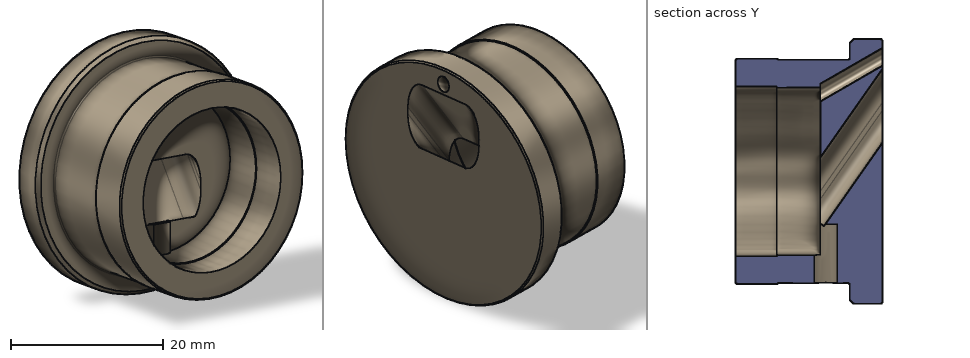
import cadquery as cq
import math

flange_radius = 17.4
flange_thickness = 4.35
front_chamfer = 0.2
flange_back_chamfer = 0.52
neck_end = 13.7
neck_radius = 14.7
collar_radius = 14.82
total_length = 19.35
collar_chamfer = 0.2
collar_step_chamfer = 0.1
neck_root_fillet = 0.2

bore_start = 8.18
bore_radius = 11.0
counterbore_start = 13.92
counterbore_radius = 11.15

drain_diameter = 3.0
drain_position = 7.48
drain_top = -6.95

channel_width = 12.5
channel_thickness = 5.55
channel_corner_radius = 2.47
channel_height = 8.65
channel_slope = 55.0

pin_diameter = 2.0
pin_height = 15.07
pin_slope = 30.0

cutter_reach = 17.4


def make_body():
    """Solid of revolution: half profile in axial and radial coordinates, turned about X."""
    return (
        cq.Workplane("XY")
        .moveTo(0, 0)
        .lineTo(0, flange_radius - front_chamfer)
        .lineTo(front_chamfer, flange_radius)
        .lineTo(flange_thickness - flange_back_chamfer, flange_radius)
        .lineTo(flange_thickness, flange_radius - flange_back_chamfer)
        .lineTo(flange_thickness, neck_radius + neck_root_fillet)
        .radiusArc((flange_thickness + neck_root_fillet, neck_radius), -neck_root_fillet)
        .lineTo(neck_end, neck_radius)
        .lineTo(neck_end + collar_step_chamfer, collar_radius)
        .lineTo(total_length - collar_chamfer, collar_radius)
        .lineTo(total_length, collar_radius - collar_chamfer)
        .lineTo(total_length, counterbore_radius)
        .lineTo(counterbore_start, counterbore_radius)
        .lineTo(counterbore_start, bore_radius)
        .lineTo(bore_start, bore_radius)
        .lineTo(bore_start, 0)
        .close()
        .revolve(360, (0, 0, 0), (1, 0, 0))
    )


def slanted_plane(height, slope):
    """Plane on the front face whose normal runs inward and down at the slope."""
    angle = math.radians(slope)
    return cq.Plane(
        origin=(0, 0, height),
        xDir=(0, 1, 0),
        normal=(math.cos(angle), 0, -math.sin(angle)),
    )


def make_channel():
    profile = cq.Sketch().rect(channel_width, channel_thickness).vertices().fillet(channel_corner_radius)
    return (
        cq.Workplane(slanted_plane(channel_height, channel_slope))
        .placeSketch(profile)
        .extrude(cutter_reach, both=True)
    )


def make_pin_hole():
    return (
        cq.Workplane(slanted_plane(pin_height, pin_slope))
        .circle(pin_diameter / 2)
        .extrude(cutter_reach, both=True)
    )


def make_drain_hole():
    return (
        cq.Workplane("XY", origin=(drain_position, 0, drain_top))
        .circle(drain_diameter / 2)
        .extrude(-flange_radius)
    )


front_wall = cq.Workplane("YZ").circle(flange_radius).extrude(bore_start)
slanted_cuts = make_channel().union(make_pin_hole()).intersect(front_wall)
result = make_body().cut(slanted_cuts).cut(make_drain_hole())